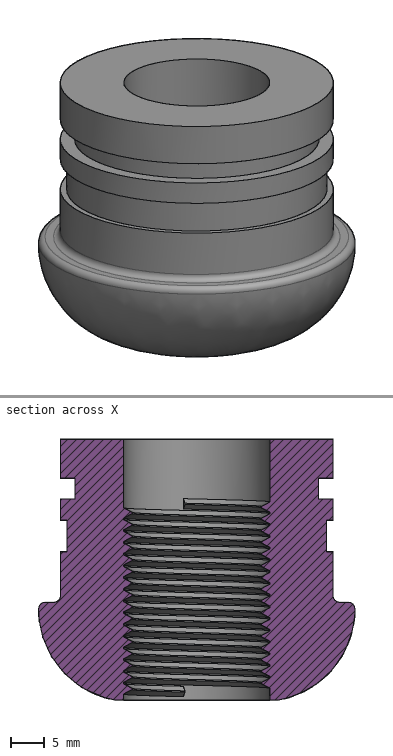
import cadquery as cq
import math

height = 38.65
rim_radius = 23.45
base_radius = 12.0
edge_radius = 1.0
lip_height = 14.55

neck_radius = 20.2
narrow_groove_radius = 18.1
narrow_groove_bottom = 29.85
narrow_groove_top = 32.85
wide_groove_radius = 19.3
wide_groove_bottom = 22.0
wide_groove_top = 26.65

bore_radius = 10.8
crest_radius = 9.52
pitch = 1.75
thread_end_depth = 8.75
thread_end_angle = 10.5
thread_turns = 16
root_width = 1.7
crest_width = 0.2
wall_overlap = 0.15


def make_body():
    """Revolve the domed head and neck as a solid without the bore."""
    dome_top = lip_height - edge_radius
    run = rim_radius - base_radius
    dome_radius = (run**2 + dome_top**2) / (2 * run)
    dome_center = rim_radius - dome_radius
    half_sweep = math.asin(dome_top / dome_radius) / 2
    dome_middle = (
        dome_center + dome_radius * math.cos(half_sweep),
        dome_top - dome_radius * math.sin(half_sweep),
    )
    corner_offset = edge_radius * math.sqrt(0.5)
    lip_middle = (
        rim_radius - edge_radius + corner_offset,
        dome_top + corner_offset,
    )
    fillet_middle = (
        neck_radius + edge_radius - corner_offset,
        lip_height + edge_radius - corner_offset,
    )
    return (
        cq.Workplane("XZ")
        .lineTo(base_radius, 0)
        .threePointArc(dome_middle, (rim_radius, dome_top))
        .threePointArc(lip_middle, (rim_radius - edge_radius, lip_height))
        .lineTo(neck_radius + edge_radius, lip_height)
        .threePointArc(fillet_middle, (neck_radius, lip_height + edge_radius))
        .lineTo(neck_radius, height)
        .lineTo(0, height)
        .close()
        .revolve(360, (0, 0, 0), (0, 1, 0))
    )


def make_groove(floor_radius, bottom, top):
    """Ring that cuts a square groove into the neck."""
    return (
        cq.Workplane("XY")
        .workplane(offset=bottom)
        .circle(rim_radius)
        .circle(floor_radius)
        .extrude(top - bottom)
    )


def make_thread():
    """Sweep the tapered ridge along a helix whose last turn ends below the top face."""
    length = thread_turns * pitch
    helix = cq.Wire.makeHelix(pitch, length, bore_radius)
    half_root = root_width / 2
    half_crest = crest_width / 2
    ridge = (
        cq.Workplane("XZ")
        .polyline([
            (crest_radius, -half_crest),
            (bore_radius + wall_overlap, -half_root),
            (bore_radius + wall_overlap, half_root),
            (crest_radius, half_crest),
        ])
        .close()
        .sweep(cq.Workplane(helix), isFrenet=True)
    )
    helix_start = height - thread_end_depth - half_root - length
    return ridge.rotate((0, 0, 0), (0, 0, 1), thread_end_angle).translate((0, 0, helix_start))


body = make_body()
body = body.cut(make_groove(narrow_groove_radius, narrow_groove_bottom, narrow_groove_top))
body = body.cut(make_groove(wide_groove_radius, wide_groove_bottom, wide_groove_top))
body = body.cut(cq.Workplane("XY").circle(bore_radius).extrude(height))
result = body.union(make_thread())